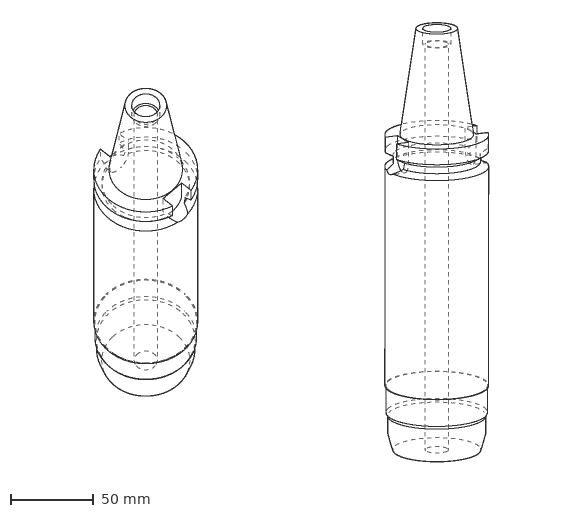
import cadquery as cq
import math


gauge_diameter = 44.45
taper_length = 65.4
taper_ratio = 7 / 24
taper_top_diameter = gauge_diameter - taper_length * taper_ratio

flange_diameter = 63.0
flange_top_z = -1.6
groove_middle_z = -16.5
groove_root_diameter = 53.0
groove_root_height = 4.2
groove_flank_angle = 30.0

body_bottom_z = -159.5
nut_diameter = 61.6
nut_step_top_z = -176.5
nut_step_bottom_z = -178.5
nose_diameter = 59.6
nose_round_top_z = -189.2
nose_bottom_z = -200.0
nose_tip_diameter = 53.4
nose_bulge = 0.3

slot_width = 16.1
slot_floor_x = 22.5
slot_bottom_z = -22.8

bore_diameter = 14.0
counterbore_diameter = 17.0
counterbore_depth = 10.0


def make_body():
    """Solid of revolution: taper, grooved flange, body, nut and rounded nose."""
    flange_radius = flange_diameter / 2
    root_radius = groove_root_diameter / 2
    flank_height = (flange_radius - root_radius) * math.tan(math.radians(groove_flank_angle))
    root_half = groove_root_height / 2
    mouth_half = root_half + flank_height
    nose_radius = nose_diameter / 2
    tip_radius = nose_tip_diameter / 2
    arc_middle = (
        (nose_radius + tip_radius) / 2 + nose_bulge,
        (nose_round_top_z + nose_bottom_z) / 2,
    )
    profile = (
        cq.Workplane("XZ")
        .moveTo(0, taper_length)
        .lineTo(taper_top_diameter / 2, taper_length)
        .lineTo(gauge_diameter / 2, 0)
        .lineTo(gauge_diameter / 2, flange_top_z)
        .lineTo(flange_radius, flange_top_z)
        .lineTo(flange_radius, groove_middle_z + mouth_half)
        .lineTo(root_radius, groove_middle_z + root_half)
        .lineTo(root_radius, groove_middle_z - root_half)
        .lineTo(flange_radius, groove_middle_z - mouth_half)
        .lineTo(flange_radius, body_bottom_z)
        .lineTo(nut_diameter / 2, body_bottom_z)
        .lineTo(nut_diameter / 2, nut_step_top_z)
        .lineTo(nose_radius, nut_step_bottom_z)
        .lineTo(nose_radius, nose_round_top_z)
        .threePointArc(arc_middle, (tip_radius, nose_bottom_z))
        .lineTo(0, nose_bottom_z)
        .close()
    )
    return profile.revolve(360, (0, 0, 0), (0, 1, 0))


def make_drive_slot(side):
    """Cutter for one round-ended slot, open at the flange top; side is -1 or +1."""
    slot_radius = slot_width / 2
    round_center_z = slot_bottom_z + slot_radius
    outline = (
        cq.Workplane("YZ", origin=(side * slot_floor_x, 0, 0))
        .moveTo(-slot_radius, 0)
        .lineTo(-slot_radius, round_center_z)
        .threePointArc((0, slot_bottom_z), (slot_radius, round_center_z))
        .lineTo(slot_radius, 0)
        .close()
    )
    return outline.extrude(side * flange_diameter / 2)


def make_bore():
    """Cutter for the through bore with a wider mouth at the taper end."""
    through = (
        cq.Workplane("XY", origin=(0, 0, nose_bottom_z))
        .circle(bore_diameter / 2)
        .extrude(taper_length - nose_bottom_z)
    )
    mouth = (
        cq.Workplane("XY", origin=(0, 0, taper_length - counterbore_depth))
        .circle(counterbore_diameter / 2)
        .extrude(counterbore_depth)
    )
    return through.union(mouth)


result = make_body()
for side in (-1, 1):
    result = result.cut(make_drive_slot(side))
result = result.cut(make_bore())